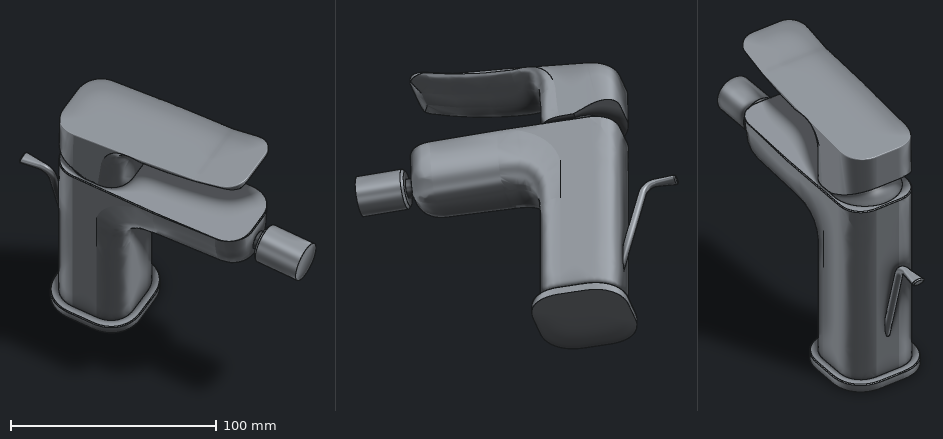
import cadquery as cq
import math

base_width = 48.0
base_height = 4.5
base_corner = 17.4
column_width = 40.0
column_corner = 13.3
edge_break = 0.5
corner_pull = 0.6
blend_pull = 0.77

housing_top = 105.5
spout_tip_x = 86.0
spout_tip_width = 37.4
spout_tip_corner = 13.3
spout_underside = 78.1
spout_blend_bottom = 59.9
spout_blend_end = 38.5
spout_tip_rise = 9.6

dome_base_diameter = 36.4
dome_sphere_radius = 20.5

lever_front_bottom = 107.5
lever_heel_x = 0.2
lever_heel_bottom = 108.1
lever_back_bottom = 118.0
lever_back_top = 136.4
lever_bend_x = 61.2
lever_bend_top = 143.8
lever_bend_strip = 1.3
lever_tip_x = 85.5
lever_top = 149.7
lever_tip_width = 36.4
lever_tip_corner = 10.4
lever_tip_edge = 1.9
lever_rim_rounding = 0.6
lever_blend_bottom = 125.5
blade_thickness = 4.6
blade_root = (31.8, 136.2)
blade_middle = (59.4, 139.0)
blade_nose = (80.7, 144.0)
blade_overrun = (87.0, 146.2)
nose_handle = (83.5, 145.0)
lever_wall_lean = 0.5

neck_diameter = 9.5
neck_insert = 3.2
nozzle_diameter = 20.0
nozzle_length = 24.0
nozzle_gap = 3.0
nozzle_chamfer = 1.3
outlet_axis_z = 92.8
outlet_tilt = 1.1

rod_diameter = 4.0
rod_wall_z = 33.7
rod_lean = 14.7
rod_foot_z = 19.2
rod_bend_radius = 7.2
grip_z = 74.3
grip_tip_x = -46.6
grip_tip_width = 7.2
grip_tip_thickness = 3.5
grip_tip_chamfer = 0.6

half_column = column_width / 2
top_face_slope = 0.9
blend_stations = 5


def pulled(start, corner, pull):
    """Point that lies the given share of the way from start to corner."""
    return tuple(a + pull * (b - a) for a, b in zip(start, corner))


def step_towards(start, goal, distance):
    """Point at the given distance from start, on the line to goal."""
    return pulled(start, goal, distance / math.dist(start, goal))


def rounded_outline(plane, corners):
    """Closed outline of (u, v, length before, length after) corners; zero lengths stay sharp."""
    spots = [corner[:2] for corner in corners]
    sketch = None
    for index, (u, v, before, after) in enumerate(corners):
        spot = (u, v)
        entry = step_towards(spot, spots[index - 1], before)
        leave = step_towards(spot, spots[(index + 1) % len(spots)], after)
        if sketch is None:
            sketch = cq.Workplane(plane).moveTo(*entry)
        else:
            sketch = sketch.lineTo(*entry)
        if before > 0:
            handles = [pulled(entry, spot, corner_pull), pulled(leave, spot, corner_pull), leave]
            sketch = sketch.bezier(handles, includeCurrent=True)
    return sketch.close()


def horizontal(z):
    return cq.Plane(origin=(0, 0, z), xDir=(1, 0, 0), normal=(0, 0, 1))


def square_outline(width, corner, z):
    half = width / 2
    spots = [(-half, -half), (half, -half), (half, half), (-half, half)]
    return rounded_outline(horizontal(z), [(x, y, corner, corner) for x, y in spots])


def paddle_outline(z, half, taper_x, tip_x, half_tip, back_corner, tip_corner):
    """Plan outline as wide as the column up to taper_x, then narrowing to a rounded tip."""
    tip = (tip_corner, tip_corner)
    back = (back_corner, back_corner)
    return rounded_outline(horizontal(z), [
        (-half, -half, *back),
        (taper_x, -half, 0, 0),
        (tip_x, -half_tip, *tip),
        (tip_x, half_tip, *tip),
        (taper_x, half, 0, 0),
        (-half, half, *back),
    ])


def u_section(edge_x, edge_z, inward, half, depth, corner=column_corner):
    """U-shaped wire across the part: flat floor at the edge point, rounded into side walls."""
    plane = cq.Plane(origin=(edge_x, 0, edge_z), xDir=(0, 1, 0), normal=(inward[1], 0, -inward[0]))
    reach = column_width
    return rounded_outline(plane, [
        (-half, reach, 0, 0),
        (-half, 0, depth, corner),
        (half, 0, corner, depth),
        (half, reach, 0, 0),
    ]).wire().val()


def swept_turn(start, end, start_depth, end_depth):
    """Sections fanned around the hollow corner, from the vertical wall to the underside."""
    hollow = (end[0], start[1])
    corner = (start[0], end[1])
    controls = [start, pulled(start, corner, blend_pull), pulled(end, corner, blend_pull), end]
    wires = []
    for station in range(blend_stations):
        t = station / (blend_stations - 1)
        weights = [(1 - t) ** 3, 3 * t * (1 - t) ** 2, 3 * t**2 * (1 - t), t**3]
        x = sum(w * c[0] for w, c in zip(weights, controls))
        z = sum(w * c[1] for w, c in zip(weights, controls))
        length = math.dist(hollow, (x, z))
        inward = ((x - hollow[0]) / length, (z - hollow[1]) / length)
        depth = start_depth + t * (end_depth - start_depth)
        wires.append(u_section(x, z, inward, half_column, depth))
    ahead_of_axis = cq.Workplane("XY", origin=(2 * column_width, 0, 0)).box(
        4 * column_width, 2 * column_width, 4 * lever_top
    )
    return cq.Workplane(cq.Solid.makeLoft(wires)).intersect(ahead_of_axis)


def upright_sections(underside, half_tip, depth):
    """Upright sections along an underside, narrowing evenly to the tip."""
    first_x = underside[0][0]
    last_x = underside[-1][0]
    wires = []
    for x, z in underside:
        half = half_column + (half_tip - half_column) * (x - first_x) / (last_x - first_x)
        wires.append(u_section(x, z, (0, 1), half, depth))
    return wires


def open_fronted_block(bottom, sweep_bottom, top):
    """Column-sized block whose front corners stop where the sweep takes over."""
    block = square_outline(column_width, column_corner, bottom).extrude(top - bottom)
    front = (
        cq.Workplane("XY", origin=(column_width - column_corner, 0, sweep_bottom))
        .rect(column_width, column_width)
        .extrude(top - sweep_bottom)
    )
    return block.cut(front)


def make_base():
    plate = square_outline(base_width, base_corner, 0).extrude(base_height)
    return plate.faces(">Z").edges().chamfer(edge_break)


def spout_tip_sections():
    """Upright sections that shrink around the rounded tip of the spout."""
    half_tip = spout_tip_width / 2
    wires = []
    for station in range(blend_stations):
        angle = math.pi / 2 * station / (blend_stations - 1)
        x = spout_tip_x - spout_tip_corner * (1 - math.sin(angle))
        z = spout_underside + spout_tip_rise * (1 - math.cos(angle))
        half = half_tip - spout_tip_corner * (1 - math.cos(angle))
        corner = column_corner * half / half_tip
        wires.append(u_section(x, z, (0, 1), half, housing_top - z, corner))
    return wires


def make_rim_envelope():
    """Wide 45 degree pyramid under the housing's top face; it trims the top and chamfers the rim."""
    wires = []
    for z, growth in [(0, housing_top - edge_break), (housing_top, -edge_break)]:
        outline = paddle_outline(
            z,
            half_column + growth,
            spout_blend_end,
            spout_tip_x + growth,
            spout_tip_width / 2 + growth,
            column_corner + growth,
            spout_tip_corner + growth,
        )
        wires.append(outline.wire().val())
    return cq.Workplane(cq.Solid.makeLoft(wires, True))


def make_housing():
    turn_end = (spout_blend_end, spout_underside)
    spout_depth = housing_top - spout_underside
    column = open_fronted_block(base_height, spout_blend_bottom, housing_top)
    turn = swept_turn((half_column, spout_blend_bottom), turn_end, column_corner, spout_depth)
    tip_start = (spout_tip_x - spout_tip_corner, spout_underside)
    straight = upright_sections([turn_end, tip_start], spout_tip_width / 2, spout_depth)
    spout = cq.Workplane(cq.Solid.makeLoft(straight, True))
    tip = cq.Workplane(cq.Solid.makeLoft(spout_tip_sections()))
    body = column.union(turn).union(spout).union(tip)
    return body.intersect(make_rim_envelope())


def make_dome():
    center_depth = math.sqrt(dome_sphere_radius**2 - (dome_base_diameter / 2) ** 2)
    sphere = cq.Workplane("XY", origin=(0, 0, housing_top - center_depth)).sphere(dome_sphere_radius)
    above_housing = square_outline(column_width, column_corner, housing_top).extrude(dome_sphere_radius)
    return sphere.intersect(above_housing)


def make_lever_side():
    """Side outline of the lever without the hollow under the blade."""
    nose_end = (lever_tip_x, lever_top - lever_tip_edge)
    top_slope = (lever_bend_top - lever_back_top) / (lever_bend_x + half_column)
    tip_slope = (lever_top - lever_bend_top) / (lever_tip_x - lever_bend_x)
    half_strip = lever_bend_strip / 2
    return (
        cq.Workplane("XZ")
        .moveTo(-half_column, lever_back_bottom)
        .lineTo(lever_heel_x, lever_heel_bottom)
        .lineTo(half_column, lever_front_bottom)
        .lineTo(*blade_nose)
        .bezier([nose_handle, nose_end], includeCurrent=True)
        .lineTo(lever_tip_x, lever_top)
        .lineTo(lever_bend_x + half_strip, lever_bend_top + half_strip * tip_slope)
        .lineTo(lever_bend_x - half_strip, lever_bend_top - half_strip * top_slope)
        .lineTo(-half_column, lever_back_top)
        .close()
        .extrude(column_width, both=True)
    )


def make_lever_plan():
    """Plan of the lever whose walls lean in slightly towards the top."""
    half_tip = lever_tip_width / 2
    wires = []
    for z, half in [(lever_front_bottom, half_column), (lever_top, half_column - lever_wall_lean)]:
        outline = paddle_outline(
            z, half, blade_root[0], lever_tip_x, half_tip, column_corner, lever_tip_corner
        )
        wires.append(outline.wire().val())
    return cq.Workplane(cq.Solid.makeLoft(wires, True))


def is_lever_top(face):
    return face.geomType() == "PLANE" and face.normalAt().z > top_face_slope


def round_lever_rim(body):
    """Rounds the border around the three top faces, but not the edges between them."""
    top_edges = [edge for face in body.faces().vals() if is_lever_top(face) for edge in face.Edges()]
    rim = [edge for edge in top_edges if sum(edge.isSame(other) for other in top_edges) == 1]
    return cq.Workplane(body.val().fillet(lever_rim_rounding, rim))


def make_lever(dome):
    block = open_fronted_block(lever_front_bottom, lever_blend_bottom, lever_top)
    turn = swept_turn((half_column, lever_blend_bottom), blade_root, column_corner, blade_thickness)
    underside = [blade_root, blade_middle, blade_nose, blade_overrun]
    sections = upright_sections(underside, lever_tip_width / 2, blade_thickness)
    blade = cq.Workplane(cq.Solid.makeLoft(sections))
    body = block.union(turn).union(blade)
    body = body.intersect(make_lever_plan()).intersect(make_lever_side())
    return round_lever_rim(body).cut(dome)


def make_outlet():
    neck_length = neck_insert + nozzle_gap
    neck = cq.Workplane("YZ").circle(neck_diameter / 2).extrude(neck_length)
    nozzle = (
        cq.Workplane("YZ", origin=(neck_length, 0, 0))
        .circle(nozzle_diameter / 2)
        .extrude(nozzle_length)
        .faces("<X")
        .edges()
        .chamfer(nozzle_chamfer)
    )
    outlet = neck.union(nozzle).rotate((0, 0, 0), (0, 1, 0), outlet_tilt)
    return outlet.translate((spout_tip_x - neck_insert, 0, outlet_axis_z))


def make_rod():
    lean = math.radians(rod_lean)
    along = (-math.sin(lean), math.cos(lean))
    foot = (-half_column + (rod_wall_z - rod_foot_z) * math.tan(lean), rod_foot_z)
    corner_x = -half_column - (grip_z - rod_wall_z) * math.tan(lean)
    bend_trim = rod_bend_radius * math.tan((math.pi / 2 - lean) / 2)
    bend_start = (corner_x - bend_trim * along[0], grip_z - bend_trim * along[1])
    bend_end = (corner_x - bend_trim, grip_z)
    stem_path = (
        cq.Workplane("XZ")
        .moveTo(*foot)
        .lineTo(*bend_start)
        .tangentArcPoint(bend_end, relative=False)
    )
    foot_plane = cq.Plane(origin=(foot[0], 0, foot[1]), xDir=(0, 1, 0), normal=(along[0], 0, along[1]))
    stem = cq.Workplane(foot_plane).circle(rod_diameter / 2).sweep(stem_path)
    grip_reach = bend_end[0] - grip_tip_x
    grip = (
        cq.Workplane("YZ", origin=(bend_end[0], 0, grip_z))
        .circle(rod_diameter / 2)
        .workplane(offset=-grip_reach)
        .ellipse(grip_tip_width / 2, grip_tip_thickness / 2)
        .loft(ruled=True)
    )
    grip = grip.faces("<X").edges().chamfer(grip_tip_chamfer)
    return stem.union(grip)


base = make_base()
outlet = make_outlet()
rod = make_rod()
housing = make_housing().cut(outlet).cut(rod)
dome = make_dome()
lever = make_lever(dome)
result = cq.Compound.makeCompound([
    base.solids().val(),
    housing.solids().val(),
    dome.solids().val(),
    lever.solids().val(),
    outlet.solids().val(),
    rod.solids().val(),
])